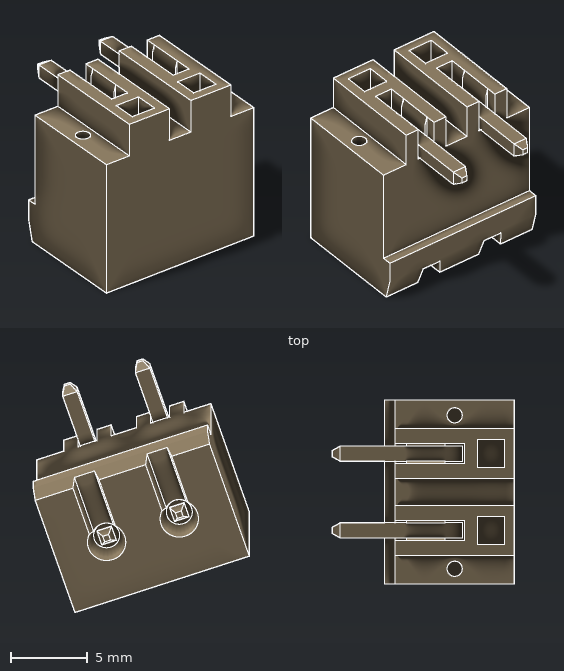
import cadquery as cq


body_length = 7.8
body_width = 12.0
shoulder_height = 9.8
total_height = 12.2
foot_depth = 0.68
foot_height = 3.0
foot_chamfer_height = 1.5
foot_chamfer_run = 0.39

pole_pitch = 5.0
pole_positions = [-pole_pitch / 2, pole_pitch / 2]
rib_width = 3.27
rib_height = total_height - shoulder_height

pin_size = 1.0
pin_reach = 4.1
pin_tip_length = 0.54
pin_tip_size = 0.4
leg_center_x = 3.9
leg_tip_z = 0.88

slot_width = 1.29
pad_gap = 0.99
slot_length = 4.55
pad_start = 0.76
pad_length = 2.5
pad_chamfer_height = 0.6

pocket_start = 5.39
pocket_length = 1.75
pocket_width = 1.82

hole_diameter = 0.99
hole_depth = 2.44
hole_spacing = 2 * pole_pitch

socket_mouth_diameter = 2.5
socket_end_diameter = 1.7
socket_depth = 1.5

channel_bottom_width = 1.79
channel_top_width = 1.38
channel_height = 1.2


def box(length, width, height, x, y, z):
    """Box starting at x and z, centred on y."""
    return cq.Workplane("XY").box(length, width, height, centered=(False, True, False)).translate((x, y, z))


def make_body():
    return (
        cq.Workplane("XZ")
        .moveTo(foot_chamfer_run - foot_depth, 0)
        .lineTo(body_length, 0)
        .lineTo(body_length, shoulder_height)
        .lineTo(0, shoulder_height)
        .lineTo(0, foot_height)
        .lineTo(-foot_depth, foot_height)
        .lineTo(-foot_depth, foot_chamfer_height)
        .close()
        .extrude(body_width / 2, both=True)
    )


def make_rib(y):
    rib = box(body_length, rib_width, rib_height, 0, y, shoulder_height)
    slot = box(slot_length, slot_width, rib_height, 0, y, shoulder_height)
    pocket = box(pocket_length, pocket_width, rib_height, pocket_start, y, shoulder_height)
    return rib.cut(slot).cut(pocket)


def make_guide_pads(y):
    """Pads on both slot walls; their tops slope back to the wall."""
    pads = box(pad_length, slot_width, rib_height, pad_start, y, shoulder_height)
    gap_bottom = total_height - pad_chamfer_height
    gap = (
        cq.Workplane("YZ", origin=(pad_start, y, 0))
        .moveTo(-pad_gap / 2, shoulder_height)
        .lineTo(pad_gap / 2, shoulder_height)
        .lineTo(pad_gap / 2, gap_bottom)
        .lineTo(slot_width / 2, total_height)
        .lineTo(-slot_width / 2, total_height)
        .lineTo(-pad_gap / 2, gap_bottom)
        .close()
        .extrude(pad_length)
    )
    return pads.cut(gap)


def make_socket(y):
    return (
        cq.Workplane("XY", origin=(leg_center_x, y, 0))
        .circle(socket_mouth_diameter / 2)
        .workplane(offset=socket_depth)
        .circle(socket_end_diameter / 2)
        .loft(ruled=True)
    )


def make_channel(y):
    return (
        cq.Workplane("YZ", origin=(-foot_depth, y, 0))
        .moveTo(-channel_bottom_width / 2, 0)
        .lineTo(channel_bottom_width / 2, 0)
        .lineTo(channel_top_width / 2, channel_height)
        .lineTo(-channel_top_width / 2, channel_height)
        .close()
        .extrude(foot_depth + leg_center_x)
    )


def make_pin_tip(plane):
    """Truncated pyramid rising along the normal of the plane."""
    return (
        cq.Workplane(plane)
        .rect(pin_size, pin_size)
        .workplane(offset=pin_tip_length)
        .rect(pin_tip_size, pin_tip_size)
        .loft(ruled=True)
    )


def make_pin(y):
    """Horizontal arm and vertical leg joined by a bend of one pin size in radius."""
    arm_start = pin_tip_length - pin_reach
    leg_bottom = leg_tip_z + pin_tip_length
    bend_x = leg_center_x - pin_size / 2
    arm_top = shoulder_height + pin_size
    arm = box(bend_x - arm_start, pin_size, pin_size, arm_start, y, shoulder_height)
    leg = box(pin_size, pin_size, shoulder_height - leg_bottom, bend_x, y, leg_bottom)
    diagonal = pin_size * 0.5**0.5
    bend = (
        cq.Workplane("XZ", origin=(0, y, 0))
        .moveTo(bend_x, shoulder_height)
        .lineTo(bend_x + pin_size, shoulder_height)
        .threePointArc((bend_x + diagonal, shoulder_height + diagonal), (bend_x, arm_top))
        .close()
        .extrude(pin_size / 2, both=True)
    )
    arm_center_z = shoulder_height + pin_size / 2
    arm_tip = make_pin_tip(cq.Plane((arm_start, y, arm_center_z), (0, 1, 0), (-1, 0, 0)))
    leg_tip = make_pin_tip(cq.Plane((leg_center_x, y, leg_bottom), (1, 0, 0), (0, 0, -1)))
    return arm.union(leg).union(bend).union(arm_tip).union(leg_tip)


body = make_body()

shoulder_holes = (
    cq.Workplane("XY", origin=(body_length / 2, 0, shoulder_height))
    .rarray(0.12, hole_spacing, 1, 2)
    .circle(hole_diameter / 2)
    .extrude(-hole_depth)
)
body = body.cut(shoulder_holes)

for pole_y in pole_positions:
    body = body.cut(make_socket(pole_y)).cut(make_channel(pole_y))
    body = body.union(make_rib(pole_y)).union(make_guide_pads(pole_y)).union(make_pin(pole_y))

result = body